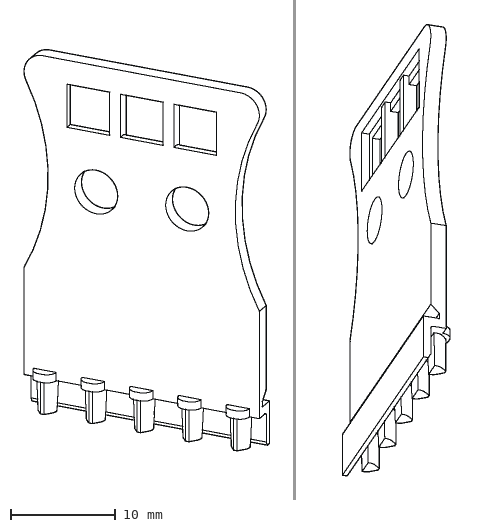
import math

import cadquery as cq

HEIGHT = 37
WIDTH = 24.8
PLATE_THICKNESS = 1.55
CORNER_RADIUS = 2.0
WAIST_WIDTH = 19.72
WAIST_RADIUS = 20.72

WINDOW_SIZE = 4.48
WINDOW_PITCH = 5.62
WINDOW_COUNT = 3
WINDOW_CENTER_Z = 32.25
WINDOW_WALL_THICKNESS = 0.78
RECESS_MARGIN = 0.92
RECESS_RIB_HEIGHT = 0.55
HOLE_DIAMETER = 4.5
HOLE_SPACING = 9.6
HOLE_CENTER_Z = 23.85

FOOT_DEPTH = 2.3
SHELF_TOP_Z = 4.45
SHELF_BOTTOM_Z = 3.48
LIP_THICKNESS = 0.75
LIP_CHAMFER_WIDTH = 0.25
LIP_CHAMFER_HEIGHT = 0.45
SHELF_FILLET = 0.22
NOTCH_FLOOR_Y = 0.7
NOTCH_WALL_TOP_Z = 5.0

PIN_COUNT = 5
PIN_ROW_SPAN = 20.35
TIP_WIDTH = 0.37
BOSS_RADIUS = 1.0
BOSS_TOP_Z = 4.33
PIN_FRONT_Y = -0.63
PIN_SHOULDER_Y = 0.6
PIN_TOP_BACK_Y = 0.85
PIN_TOP_HALF_WIDTH = 1.05
PIN_FOOT_BACK_Y = 0.75
PIN_FOOT_HALF_WIDTH = 0.92

CATCH_WIDTH = 1.1
CATCH_DEPTH = 0.4
CATCH_TOP_Z = 2.2
CATCH_BOTTOM_Z = 1.1

PIN_PITCH = PIN_ROW_SPAN / (PIN_COUNT - 1)
LIP_INNER_Y = FOOT_DEPTH - LIP_THICKNESS


def centered_positions(count, pitch):
    return [(i - (count - 1) / 2) * pitch for i in range(count)]


def extrude_along_x(points, width):
    """Prism with a (Y, Z) outline, centred on X = 0."""
    return cq.Workplane("YZ").polyline(points).close().extrude(width / 2, both=True)


def make_plate():
    half_width = WIDTH / 2
    corner_x = half_width - CORNER_RADIUS
    corner_z = HEIGHT - CORNER_RADIUS
    waist_x = WAIST_WIDTH / 2
    arc_x = waist_x + WAIST_RADIUS

    center_distance = WAIST_RADIUS + CORNER_RADIUS
    arc_z = corner_z - math.sqrt(center_distance**2 - (arc_x - corner_x) ** 2)
    tangent_x = corner_x + (arc_x - corner_x) * CORNER_RADIUS / center_distance
    tangent_z = corner_z + (arc_z - corner_z) * CORNER_RADIUS / center_distance
    side_top_z = arc_z - math.sqrt(WAIST_RADIUS**2 - (arc_x - half_width) ** 2)

    tangent_angle = math.atan2(tangent_z - corner_z, tangent_x - corner_x)
    middle_angle = (tangent_angle + math.pi / 2) / 2
    middle_x = corner_x + CORNER_RADIUS * math.cos(middle_angle)
    middle_z = corner_z + CORNER_RADIUS * math.sin(middle_angle)

    return (
        cq.Workplane("XZ")
        .moveTo(-half_width, SHELF_BOTTOM_Z)
        .lineTo(half_width, SHELF_BOTTOM_Z)
        .lineTo(half_width, side_top_z)
        .threePointArc((waist_x, arc_z), (tangent_x, tangent_z))
        .threePointArc((middle_x, middle_z), (corner_x, HEIGHT))
        .lineTo(-corner_x, HEIGHT)
        .threePointArc((-middle_x, middle_z), (-tangent_x, tangent_z))
        .threePointArc((-waist_x, arc_z), (-half_width, side_top_z))
        .close()
        .extrude(-PLATE_THICKNESS)
    )


def make_windows():
    centers = [(x, WINDOW_CENTER_Z) for x in centered_positions(WINDOW_COUNT, WINDOW_PITCH)]
    return cq.Workplane("XZ").pushPoints(centers).rect(WINDOW_SIZE, WINDOW_SIZE).extrude(-PLATE_THICKNESS)


def make_window_recess():
    """Recess in the back face around the windows, with a low rib left between each pair."""
    width = (WINDOW_COUNT - 1) * WINDOW_PITCH + WINDOW_SIZE + 2 * RECESS_MARGIN
    height = WINDOW_SIZE + 2 * RECESS_MARGIN
    depth = PLATE_THICKNESS - WINDOW_WALL_THICKNESS
    rib_width = WINDOW_PITCH - WINDOW_SIZE
    floor = cq.Workplane("XZ", origin=(0, WINDOW_WALL_THICKNESS, WINDOW_CENTER_Z))
    rib_centers = [(x, 0) for x in centered_positions(WINDOW_COUNT - 1, WINDOW_PITCH)]
    ribs = floor.pushPoints(rib_centers).rect(rib_width, height).extrude(-RECESS_RIB_HEIGHT)
    return floor.rect(width, height).extrude(-depth).cut(ribs)


def make_finger_holes():
    centers = [(x, HOLE_CENTER_Z) for x in centered_positions(2, HOLE_SPACING)]
    return cq.Workplane("XZ").pushPoints(centers).circle(HOLE_DIAMETER / 2).extrude(-PLATE_THICKNESS)


def make_notch():
    slope_rise = PLATE_THICKNESS - NOTCH_FLOOR_Y
    outline = [
        (NOTCH_FLOOR_Y, SHELF_TOP_Z),
        (NOTCH_FLOOR_Y, NOTCH_WALL_TOP_Z),
        (PLATE_THICKNESS, NOTCH_WALL_TOP_Z + slope_rise),
        (PLATE_THICKNESS, SHELF_TOP_Z),
    ]
    return extrude_along_x(outline, WIDTH)


def make_foot():
    outline = [
        (0, SHELF_TOP_Z),
        (FOOT_DEPTH, SHELF_TOP_Z),
        (FOOT_DEPTH, 0),
        (LIP_INNER_Y + LIP_CHAMFER_WIDTH, 0),
        (LIP_INNER_Y, LIP_CHAMFER_HEIGHT),
        (LIP_INNER_Y, SHELF_BOTTOM_Z),
        (0, SHELF_BOTTOM_Z),
    ]
    inner_corner = cq.selectors.NearestToPointSelector((0, LIP_INNER_Y, SHELF_BOTTOM_Z))
    return extrude_along_x(outline, WIDTH).edges(inner_corner).fillet(SHELF_FILLET)


def make_boss():
    """Rounded front boss: two quarter circles joined by a narrow flat."""
    tip = TIP_WIDTH / 2
    side = tip + BOSS_RADIUS
    diagonal = BOSS_RADIUS / math.sqrt(2)
    return (
        cq.Workplane("XY", origin=(0, 0, SHELF_BOTTOM_Z))
        .moveTo(-side, 0)
        .threePointArc((-tip - diagonal, -diagonal), (-tip, -BOSS_RADIUS))
        .lineTo(tip, -BOSS_RADIUS)
        .threePointArc((tip + diagonal, -diagonal), (side, 0))
        .close()
        .extrude(BOSS_TOP_Z - SHELF_BOTTOM_Z)
    )


def draw_pin_section(plane, half_width, back_y):
    """Section with a narrow front flat, slanted faces, round flanks and a square back."""
    tip = TIP_WIDTH / 2
    edge_angle = math.asin(PIN_SHOULDER_Y / half_width)
    edge_x = half_width * math.cos(edge_angle)
    middle_x = half_width * math.cos(edge_angle / 2)
    middle_y = PIN_SHOULDER_Y - half_width * math.sin(edge_angle / 2)
    return (
        plane.moveTo(-tip, PIN_FRONT_Y)
        .lineTo(tip, PIN_FRONT_Y)
        .lineTo(edge_x, 0)
        .threePointArc((middle_x, middle_y), (half_width, PIN_SHOULDER_Y))
        .lineTo(half_width, back_y)
        .lineTo(-half_width, back_y)
        .lineTo(-half_width, PIN_SHOULDER_Y)
        .threePointArc((-middle_x, middle_y), (-edge_x, 0))
        .close()
    )


def make_pin():
    """Pin hanging from the shelf, tapering towards its foot."""
    foot = draw_pin_section(cq.Workplane("XY"), PIN_FOOT_HALF_WIDTH, PIN_FOOT_BACK_Y)
    top_plane = foot.workplane(offset=SHELF_BOTTOM_Z)
    return draw_pin_section(top_plane, PIN_TOP_HALF_WIDTH, PIN_TOP_BACK_Y).loft(ruled=True)


def make_catch():
    outline = [
        (LIP_INNER_Y, CATCH_TOP_Z),
        (LIP_INNER_Y - CATCH_DEPTH, CATCH_TOP_Z),
        (LIP_INNER_Y, CATCH_BOTTOM_Z),
    ]
    return extrude_along_x(outline, CATCH_WIDTH)


plate = make_plate().cut(make_windows()).cut(make_window_recess())
plate = plate.cut(make_finger_holes()).cut(make_notch())
result = plate.union(make_foot())

for pin_x in centered_positions(PIN_COUNT, PIN_PITCH):
    for feature in (make_boss(), make_pin(), make_catch()):
        result = result.union(feature.translate((pin_x, 0, 0)))